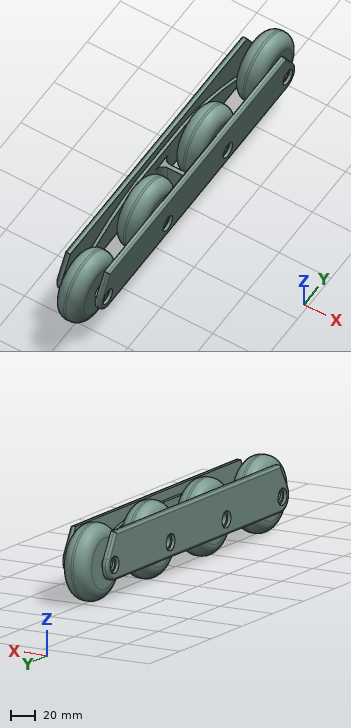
import cadquery as cq
import math

wheel_diameter = 65.0
wheel_width = 24.0
tread_flat_width = 2.0
tread_radius = (wheel_width - tread_flat_width) / 2
wheel_bore = 10.1
wheel_pitch = 90.0
wheel_count = 4

frame_width = 43.0
plate_thickness = 5.0
plate_half_length = 147.0
plate_top = 27.0
plate_bottom = -13.0
plate_end_radius = -plate_bottom
end_slope_angle = 59.5
outer_edge_radius = 2.0

axle_hole = 10.2
axle_hole_pitch = 90.4
counterbore_diameter = 14.2
counterbore_depth = 3.0

rib_thickness = 3.0
rib_top = 19.0
rib_flat_half_length = 35.0
rib_half_length = 131.0
rib_arc_radius = 230.0

web_thickness = 4.0
web_top = 8.0
web_corner_radius = 7.0

outer_face = frame_width / 2
plate_inner_face = outer_face - plate_thickness
rib_inner_face = plate_inner_face - rib_thickness


def row_positions(pitch):
    """Places along Y of one feature per wheel, evenly spaced about the middle."""
    return [(i - (wheel_count - 1) / 2) * pitch for i in range(wheel_count)]


def make_wheel(axle_y):
    """Roller with a rounded tread and a plain bore."""
    wheel = (
        cq.Workplane("YZ", origin=(-wheel_width / 2, axle_y, 0))
        .circle(wheel_diameter / 2)
        .extrude(wheel_width)
        .edges()
        .fillet(tread_radius)
    )
    bore = (
        cq.Workplane("YZ", origin=(-wheel_width / 2, axle_y, 0))
        .circle(wheel_bore / 2)
        .extrude(wheel_width)
    )
    return wheel.cut(bore)


def make_side_plate():
    """Plate on the +X side: sloped upper ends, round lower ends, rounded outer edge."""
    slope = math.radians(end_slope_angle)
    round_center_y = plate_half_length - plate_end_radius
    tangent_y = round_center_y + plate_end_radius * math.sin(slope)
    tangent_z = plate_end_radius * math.cos(slope)
    top_corner_y = tangent_y - (plate_top - tangent_z) / math.tan(slope)
    return (
        cq.Workplane("YZ", origin=(plate_inner_face, 0, 0))
        .moveTo(-round_center_y, plate_bottom)
        .lineTo(round_center_y, plate_bottom)
        .threePointArc((plate_half_length, 0), (tangent_y, tangent_z))
        .lineTo(top_corner_y, plate_top)
        .lineTo(-top_corner_y, plate_top)
        .lineTo(-tangent_y, tangent_z)
        .threePointArc((-plate_half_length, 0), (-round_center_y, plate_bottom))
        .close()
        .extrude(plate_thickness)
        .faces(">X")
        .edges()
        .fillet(outer_edge_radius)
    )


def make_rib():
    """Rib on the +X side: flat top falling away to both tips along convex arcs."""
    arc_run = rib_half_length - rib_flat_half_length
    arc_drop = rib_top - plate_bottom
    chord = math.hypot(arc_run, arc_drop)
    bulge = rib_arc_radius - math.sqrt(rib_arc_radius**2 - (chord / 2) ** 2)
    middle_y = rib_flat_half_length + arc_run / 2 + bulge * arc_drop / chord
    middle_z = rib_top - arc_drop / 2 + bulge * arc_run / chord
    return (
        cq.Workplane("YZ", origin=(rib_inner_face, 0, 0))
        .moveTo(-rib_half_length, plate_bottom)
        .lineTo(rib_half_length, plate_bottom)
        .threePointArc((middle_y, middle_z), (rib_flat_half_length, rib_top))
        .lineTo(-rib_flat_half_length, rib_top)
        .threePointArc((-middle_y, middle_z), (-rib_half_length, plate_bottom))
        .close()
        .extrude(rib_thickness)
    )


def make_web():
    """Upright web between the ribs, flaring into them with concave corners."""
    half_thickness = web_thickness / 2
    flare_y = half_thickness + web_corner_radius
    web = cq.Workplane("XY", origin=(0, 0, plate_bottom)).rect(2 * rib_inner_face, 2 * flare_y)
    web = web.extrude(web_top - plate_bottom)
    for side in (-1, 1):
        opening = (
            cq.Workplane("XY", origin=(0, side * flare_y, plate_bottom))
            .rect(2 * rib_inner_face, 2 * web_corner_radius)
            .extrude(web_top - plate_bottom)
            .edges("|Z and " + (">Y" if side < 0 else "<Y"))
            .fillet(web_corner_radius)
        )
        web = web.cut(opening)
    return web


def make_axle_cutters(axle_y):
    """Through hole across the frame, with a counterbore in each outer face."""
    cutter = (
        cq.Workplane("YZ", origin=(-outer_face, axle_y, 0))
        .circle(axle_hole / 2)
        .extrude(frame_width)
    )
    for start_x in (-outer_face, outer_face - counterbore_depth):
        counterbore = (
            cq.Workplane("YZ", origin=(start_x, axle_y, 0))
            .circle(counterbore_diameter / 2)
            .extrude(counterbore_depth)
        )
        cutter = cutter.union(counterbore)
    return cutter


def make_frame():
    """Both ribbed side plates and the web as one solid, pierced by the axle holes."""
    side = make_side_plate().union(make_rib())
    frame = side.union(side.mirror("YZ")).union(make_web())
    for axle_y in row_positions(axle_hole_pitch):
        frame = frame.cut(make_axle_cutters(axle_y))
    return frame


frame = make_frame()
wheels = [make_wheel(axle_y) for axle_y in row_positions(wheel_pitch)]

result = cq.Compound.makeCompound([frame.val(), *[wheel.val() for wheel in wheels]])